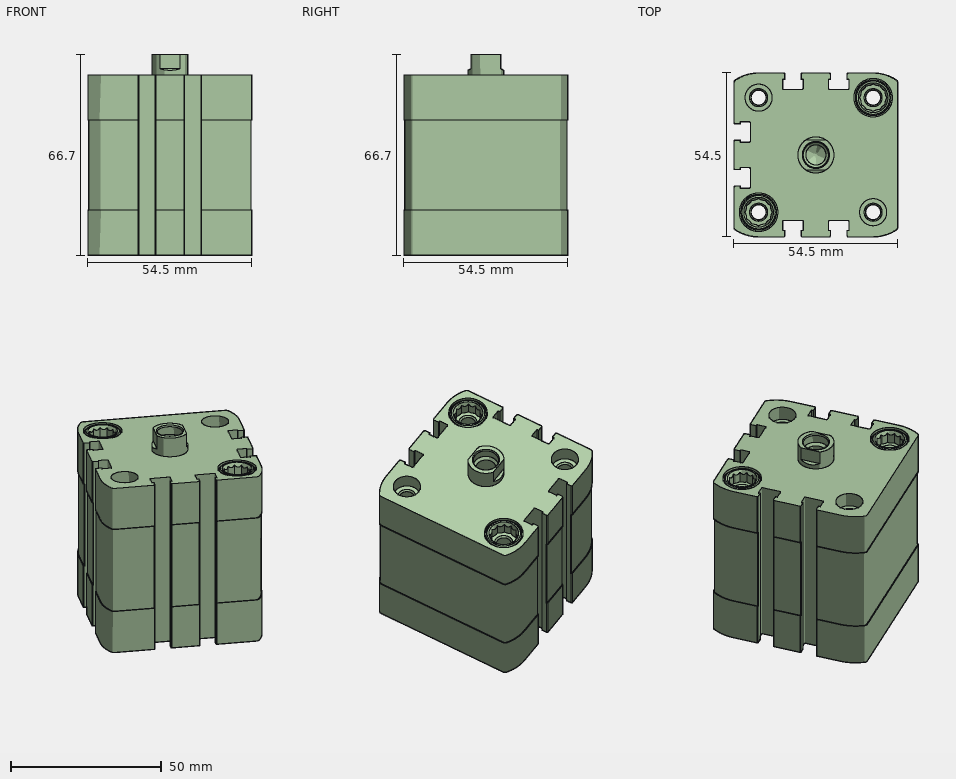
import cadquery as cq
import math

cap_width = 54.5
half_width = cap_width / 2
tube_inset = 0.3
total_height = 66.7
rod_projection = 6.8
housing_height = total_height - rod_projection
cap_height = 15.0
tube_height = housing_height - 2 * cap_height

hole_offset = 19.0
corner_radius = 14.0
corner_blend_radius = 1.3

slot_offset = 7.6
slot_mouth_width = 5.4
slot_inner_width = 6.75
slot_lip_depth = 2.2
slot_depth = 5.5
slot_mouth_chamfer = 0.3
slot_floor_radius = 0.3
slot_face_angles = (0, 180, 270)

bolt_hole_diameter = 4.95
bolt_hole_rim_diameter = 6.0
bolt_hole_rim_depth = (bolt_hole_rim_diameter - bolt_hole_diameter) / 2
counterbore_diameter = 9.0
counterbore_depth = 5.0

collar_recess_diameter = 12.8
collar_recess_depth = 1.0
collar_diameter = 11.9
collar_top_depth = 0.15
collar_chamfer = 0.4
socket_mouth_diameter = 9.9
socket_land_diameter = 8.5
socket_groove_diameter = 9.1
socket_land_width = 0.8
socket_groove_count = 12
socket_depth = 4.8
socket_cone_slope = 2.0

rod_diameter = 12.0
rod_seat_depth = cap_height
flat_spacing = 10.0
flat_height = 4.75
flat_runout = 0.55
rod_mouth_diameter = 9.0
rod_mouth_depth = 0.5
rod_counterbore_diameter = 8.4
rod_counterbore_depth = 3.3
rod_hole_diameter = 6.7
rod_hole_depth = 12.0
drill_half_angle = math.radians(59)


def bowed_block(inset, bottom, height):
    """Block with bowed corners, every side moved inward by the inset."""
    half = half_width - inset
    radius = corner_radius - inset
    arc_center = half_width - corner_radius
    side_run = half - hole_offset
    side_end = arc_center + math.sqrt(radius**2 - side_run**2)
    middle_angle = math.asin(side_run / radius) / 2
    middle_x = hole_offset + radius * math.sin(middle_angle)
    middle_y = arc_center + radius * math.cos(middle_angle)
    outline = (
        cq.Workplane("XY", origin=(0, 0, bottom))
        .moveTo(-hole_offset, half)
        .lineTo(hole_offset, half)
        .threePointArc((middle_x, middle_y), (half, side_end))
        .lineTo(half, -side_end)
        .threePointArc((middle_x, -middle_y), (hole_offset, -half))
        .lineTo(-hole_offset, -half)
        .threePointArc((-middle_x, -middle_y), (-half, -side_end))
        .lineTo(-half, side_end)
        .threePointArc((-middle_x, middle_y), (-hole_offset, half))
        .close()
    )
    block = outline.extrude(height)
    return block.edges("|Z and (<X or >X)").fillet(corner_blend_radius - inset)


def slot_pair(inset, bottom, height):
    """Cutter for the two slots of the front face; the mouth chamfers start at the inset face."""
    face = -half_width + inset
    lip = -half_width + slot_lip_depth
    floor = -half_width + slot_depth
    mouth = slot_mouth_width / 2
    inner = slot_inner_width / 2
    flare = mouth + slot_mouth_chamfer
    pair = cq.Workplane("XY")
    for center in (-slot_offset, slot_offset):
        slot = (
            cq.Workplane("XY", origin=(center, 0, bottom))
            .polyline([
                (-flare, face),
                (-mouth, face + slot_mouth_chamfer),
                (-mouth, lip),
                (-inner, lip),
                (-inner, floor),
                (inner, floor),
                (inner, lip),
                (mouth, lip),
                (mouth, face + slot_mouth_chamfer),
                (flare, face),
            ])
            .close()
            .extrude(height)
        )
        slot = slot.edges("|Z and >Y").fillet(slot_floor_radius)
        pair = pair.add(slot)
    return pair.combine()


def slotted_section(inset, bottom, height):
    section = bowed_block(inset, bottom, height)
    for angle in slot_face_angles:
        cutter = slot_pair(inset, bottom, height).rotate((0, 0, 0), (0, 0, 1), angle)
        section = section.cut(cutter)
    return section


def revolved(points):
    """Solid of revolution about Z from (radius, height) points."""
    return cq.Workplane("XZ").polyline(points).close().revolve(360, (0, 0), (0, 1))


def bolt_hole(floor_depth):
    """Through hole with a chamfered rim, starting at the floor depth below the top face."""
    floor = housing_height - floor_depth
    radius = bolt_hole_diameter / 2
    rim = bolt_hole_rim_diameter / 2
    return revolved([
        (0, 0),
        (radius, 0),
        (radius, floor - bolt_hole_rim_depth),
        (rim, floor),
        (0, floor),
    ])


def counterbore():
    return (
        cq.Workplane("XY", origin=(0, 0, housing_height - counterbore_depth))
        .circle(counterbore_diameter / 2)
        .extrude(counterbore_depth)
    )


def collar_surround():
    """Cutter that leaves a chamfered collar standing inside a round recess."""
    top = housing_height - collar_top_depth
    floor = housing_height - collar_recess_depth
    recess = collar_recess_diameter / 2
    collar = collar_diameter / 2
    return revolved([
        (0, top),
        (collar - collar_chamfer, top),
        (collar, top - collar_chamfer),
        (collar, floor),
        (recess, floor),
        (recess, housing_height),
        (0, housing_height),
    ])


def splined_socket():
    """Cutter for the socket: flat lands alternating with V grooves below a conical mouth."""
    land_radius = socket_land_diameter / 2
    groove_radius = socket_groove_diameter / 2
    pitch = 2 * math.pi / socket_groove_count
    half_land_angle = math.asin(socket_land_width / 2 / land_radius)
    points = []
    for index in range(socket_groove_count):
        groove_angle = index * pitch
        land_angle = groove_angle + pitch / 2
        for radius, angle in (
            (groove_radius, groove_angle),
            (land_radius, land_angle - half_land_angle),
            (land_radius, land_angle + half_land_angle),
        ):
            points.append((radius * math.cos(angle), radius * math.sin(angle)))
    top = housing_height - collar_top_depth
    floor = housing_height - socket_depth
    spline = cq.Workplane("XY", origin=(0, 0, floor)).polyline(points).close().extrude(top - floor)

    mouth_radius = socket_mouth_diameter / 2
    cone = revolved([(0, top), (mouth_radius, top), (0, top - mouth_radius * socket_cone_slope)])
    below_floor = cq.Workplane("XY").circle(mouth_radius).extrude(floor)
    return spline.union(cone.cut(below_floor))


def make_housing():
    housing = slotted_section(0, 0, cap_height)
    housing = housing.union(slotted_section(tube_inset, cap_height, tube_height))
    housing = housing.union(slotted_section(0, housing_height - cap_height, cap_height))

    for side in (-1, 1):
        plain_corner = (side * hole_offset, -side * hole_offset, 0)
        for cutter in (counterbore(), bolt_hole(counterbore_depth)):
            housing = housing.cut(cutter.translate(plain_corner))
        collar_corner = (side * hole_offset, side * hole_offset, 0)
        for cutter in (collar_surround(), splined_socket(), bolt_hole(socket_depth)):
            housing = housing.cut(cutter.translate(collar_corner))

    rod_seat = (
        cq.Workplane("XY", origin=(0, 0, housing_height - rod_seat_depth))
        .circle(rod_diameter / 2)
        .extrude(rod_seat_depth)
    )
    return housing.cut(rod_seat).solids()


def rod_bore():
    """Cutter for the chamfered, counterbored blind hole: a 45 degree step and a drill-point end."""
    mouth = rod_mouth_diameter / 2
    wide = rod_counterbore_diameter / 2
    narrow = rod_hole_diameter / 2
    wide_end = total_height - rod_counterbore_depth
    narrow_start = wide_end - (wide - narrow)
    narrow_end = total_height - rod_hole_depth
    tip = narrow_end - narrow / math.tan(drill_half_angle)
    return revolved([
        (0, total_height),
        (mouth, total_height),
        (wide, total_height - rod_mouth_depth),
        (wide, wide_end),
        (narrow, narrow_start),
        (narrow, narrow_end),
        (0, tip),
    ])


def wrench_flat(side):
    """Cutter for one flat whose floor slopes down toward the outside of the rod."""
    inner = side * flat_spacing / 2
    outer = side * rod_diameter / 2
    floor = total_height - flat_height
    return (
        cq.Workplane("YZ")
        .polyline([
            (inner, total_height),
            (inner, floor),
            (outer, floor - flat_runout),
            (outer, total_height),
        ])
        .close()
        .extrude(rod_diameter / 2, both=True)
    )


def make_rod():
    rod = (
        cq.Workplane("XY", origin=(0, 0, housing_height - rod_seat_depth))
        .circle(rod_diameter / 2)
        .extrude(rod_seat_depth + rod_projection)
    )
    for side in (-1, 1):
        rod = rod.cut(wrench_flat(side))
    return rod.cut(rod_bore()).solids()


housing = make_housing()
rod = make_rod()
result = cq.Compound.makeCompound([housing.val(), rod.val()])